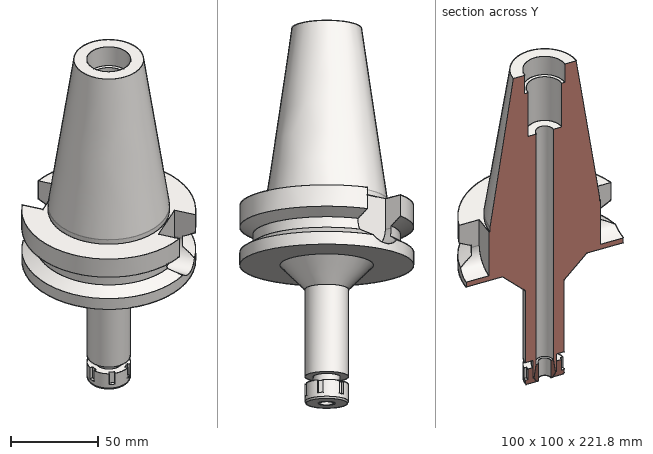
import cadquery as cq
import math


GAUGE_DIA = 69.9
SHANK_LENGTH = 101.8
TAPER_RATIO = 7 / 24
TIP_DIA = GAUGE_DIA - SHANK_LENGTH * TAPER_RATIO

GROOVE_FLANK_ANGLE = 30
FLANGE_DIA = 100.0
FLANGE_TOP = -3.0
UPPER_RIM = 12.6
LOWER_RIM = 7.5
GROOVE_FLOOR_DIA = 85.0
GROOVE_FLOOR_WIDTH = 6.2
GROOVE_FLANK_HEIGHT = (FLANGE_DIA - GROOVE_FLOOR_DIA) / 2 * math.tan(math.radians(GROOVE_FLANK_ANGLE))
GROOVE_TOP = FLANGE_TOP - UPPER_RIM
FLANGE_BOTTOM = GROOVE_TOP - 2 * GROOVE_FLANK_HEIGHT - GROOVE_FLOOR_WIDTH - LOWER_RIM

KEYWAY_WIDTH = 26.0
KEYWAY_DEPTH = 31.3
KEYWAY_FLOOR = 35.5

CONE_DIA = 53.7
CONE_HEIGHT = 14.5
BARREL_DIA = 25.0
NOSE_DIA = 15.5
NOSE_GAP = 4.7

OVERALL_LENGTH = 221.8
NUT_DIA = BARREL_DIA
NUT_HEIGHT = 11.0
NUT_CHAMFER_HEIGHT = 1.0
NUT_CHAMFER_WIDTH = 0.7
THREAD_DEPTH = 8.0
SLOT_COUNT = 6
SLOT_WIDTH = 3.3
SLOT_HEIGHT = 7.5
SLOT_DEPTH = 1.8

NUT_BOTTOM = SHANK_LENGTH - OVERALL_LENGTH
NUT_TOP = NUT_BOTTOM + NUT_HEIGHT
BARREL_BOTTOM = NUT_TOP + NOSE_GAP
NOSE_BOTTOM = NUT_TOP - THREAD_DEPTH

MOUTH_DIA = 25.3
MOUTH_DEPTH = 13.0
DRAWBAR_DIA = 21.3
DRAWBAR_DEPTH = 44.4
CHANNEL_DIA = 10.6

COLLET_DIA = 13.3
COLLET_TOP_DIA = CHANNEL_DIA
COLLET_BORE = 7.8
COLLET_ANGLE = 8
COLLET_FRONT_ANGLE = 30
COLLET_TAPER_HEIGHT = (COLLET_DIA - COLLET_TOP_DIA) / 2 / math.tan(math.radians(COLLET_ANGLE))
COLLET_FRONT_HEIGHT = NOSE_BOTTOM - NUT_BOTTOM
COLLET_TOP = NOSE_BOTTOM + COLLET_TAPER_HEIGHT
COLLET_FACE_DIA = COLLET_DIA - 2 * COLLET_FRONT_HEIGHT * math.tan(math.radians(COLLET_FRONT_ANGLE))


def turned(profile):
    """Revolve (diameter, z) points, closed along the axis, around Z."""
    points = [(diameter / 2, z) for diameter, z in profile]
    axis_ends = [(0, profile[-1][1]), (0, profile[0][1])]
    return cq.Workplane("XZ").polyline(points + axis_ends).close().revolve(360, (0, 0), (0, 1))


def cylinder(diameter, bottom, top):
    """Solid cylinder on the Z axis between two heights."""
    return turned([(diameter, top), (diameter, bottom)])


def make_collet_blank():
    """Double cone without its bore; it also shapes the seats in holder and nut."""
    return turned([
        (COLLET_TOP_DIA, COLLET_TOP),
        (COLLET_DIA, NOSE_BOTTOM),
        (COLLET_FACE_DIA, NUT_BOTTOM),
    ])


def make_keyway(angle):
    """Cutter open at the flange top and outwards, with a full-round lower end."""
    radius = KEYWAY_WIDTH / 2
    arc_z = FLANGE_TOP - KEYWAY_DEPTH + radius
    return (
        cq.Workplane("YZ", origin=(KEYWAY_FLOOR, 0, 0))
        .moveTo(-radius, FLANGE_TOP)
        .lineTo(-radius, arc_z)
        .threePointArc((0, arc_z - radius), (radius, arc_z))
        .lineTo(radius, FLANGE_TOP)
        .close()
        .extrude(FLANGE_DIA / 2)
        .rotate((0, 0, 0), (0, 0, 1), angle)
    )


def make_holder():
    """Shank, flange, barrel and threaded nose with keyways and a stepped bore."""
    groove_floor_top = GROOVE_TOP - GROOVE_FLANK_HEIGHT
    groove_floor_bottom = groove_floor_top - GROOVE_FLOOR_WIDTH
    cone_bottom = FLANGE_BOTTOM - CONE_HEIGHT
    body = turned([
        (TIP_DIA, SHANK_LENGTH),
        (GAUGE_DIA, 0),
        (GAUGE_DIA, FLANGE_TOP),
        (FLANGE_DIA, FLANGE_TOP),
        (FLANGE_DIA, GROOVE_TOP),
        (GROOVE_FLOOR_DIA, groove_floor_top),
        (GROOVE_FLOOR_DIA, groove_floor_bottom),
        (FLANGE_DIA, groove_floor_bottom - GROOVE_FLANK_HEIGHT),
        (FLANGE_DIA, FLANGE_BOTTOM),
        (CONE_DIA, FLANGE_BOTTOM),
        (BARREL_DIA, cone_bottom),
        (BARREL_DIA, BARREL_BOTTOM),
        (NOSE_DIA, BARREL_BOTTOM),
        (NOSE_DIA, NOSE_BOTTOM),
    ])
    for angle in (0, 180):
        body = body.cut(make_keyway(angle))
    mouth_floor = SHANK_LENGTH - MOUTH_DEPTH
    drawbar_floor = SHANK_LENGTH - DRAWBAR_DEPTH
    bore = turned([
        (MOUTH_DIA, SHANK_LENGTH),
        (MOUTH_DIA, mouth_floor),
        (DRAWBAR_DIA, mouth_floor),
        (DRAWBAR_DIA, drawbar_floor),
        (CHANNEL_DIA, drawbar_floor),
        (CHANNEL_DIA, COLLET_TOP),
    ])
    return body.cut(bore).cut(make_collet_blank())


def make_nut():
    """Nut around the nose, with wrench slots open at its top face."""
    body = turned([
        (NUT_DIA, NUT_TOP),
        (NUT_DIA, NUT_BOTTOM + NUT_CHAMFER_HEIGHT),
        (NUT_DIA - 2 * NUT_CHAMFER_WIDTH, NUT_BOTTOM),
    ])
    body = body.cut(cylinder(NOSE_DIA, NOSE_BOTTOM, NUT_TOP)).cut(make_collet_blank())
    slot = (
        cq.Workplane("XY", origin=(NUT_DIA / 2, 0, NUT_TOP - SLOT_HEIGHT))
        .rect(2 * SLOT_DEPTH, SLOT_WIDTH)
        .extrude(SLOT_HEIGHT)
    )
    for index in range(SLOT_COUNT):
        body = body.cut(slot.rotate((0, 0, 0), (0, 0, 1), index * 360 / SLOT_COUNT))
    return body


def make_collet():
    """Collet with a straight through bore."""
    return make_collet_blank().cut(cylinder(COLLET_BORE, NUT_BOTTOM, COLLET_TOP))


holder = make_holder()
nut = make_nut()
collet = make_collet()

result = cq.Compound.makeCompound([holder.val(), nut.val(), collet.val()])